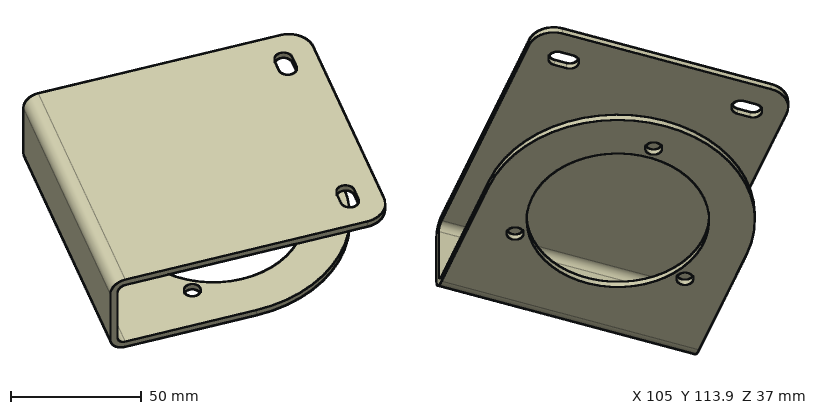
import cadquery as cq

width = 105.0
length = 113.9
height = 37.0
thickness = 3.0
bend_outer_radius = 6.0
bend_inner_radius = bend_outer_radius - thickness

corner_radius = 10.0
slot_length = 12.1
slot_width = 7.1
slot_spacing = 74.7
slot_edge_distance = 13.0

base_length = 111.7
base_end_radius = width / 2
opening_center_y = base_length - base_end_radius
opening_diameter = 70.0
bolt_circle_radius = 40.0
bolt_hole_diameter = 6.5
bolt_hole_count = 3


def bent_sheet():
    """U-shaped sheet, open toward +Y, with concentric bend radii."""
    outer = (
        cq.Workplane("XY")
        .box(width, length, height, centered=(True, False, False))
        .edges("|X and <Y")
        .fillet(bend_outer_radius)
    )
    inner = (
        cq.Workplane("XY")
        .box(width, length, height - 2 * thickness, centered=(True, False, False))
        .translate((0, thickness, thickness))
        .edges("|X and <Y")
        .fillet(bend_inner_radius)
    )
    return outer.cut(inner)


def top_outline():
    """Full-height block with the plan shape of the top plate."""
    return (
        cq.Workplane("XY")
        .box(width, length, height, centered=(True, False, False))
        .edges("|Z and >Y")
        .fillet(corner_radius)
    )


def base_trim():
    """Material removed from the base plate outside its rounded end."""
    end_block = (
        cq.Workplane("XY")
        .box(width, length - opening_center_y, thickness, centered=(True, False, False))
        .translate((0, opening_center_y, 0))
    )
    end_disc = (
        cq.Workplane("XY")
        .center(0, opening_center_y)
        .circle(base_end_radius)
        .extrude(thickness)
    )
    return end_block.cut(end_disc)


def mounting_slots():
    """Two slots through the top plate near its free edge."""
    slot_y = length - slot_edge_distance
    return (
        cq.Workplane("XY", origin=(0, 0, height - thickness))
        .pushPoints([(side * slot_spacing / 2, slot_y) for side in (-1, 1)])
        .slot2D(slot_length, slot_width)
        .extrude(thickness)
    )


def base_holes():
    """Large opening and the ring of bolt holes, one of them toward +Y."""
    base_plane = cq.Workplane("XY", origin=(0, opening_center_y, 0))
    opening = base_plane.circle(opening_diameter / 2).extrude(thickness)
    bolt_holes = (
        base_plane
        .polarArray(bolt_circle_radius, 90, 360, bolt_hole_count)
        .circle(bolt_hole_diameter / 2)
        .extrude(thickness)
    )
    return opening.union(bolt_holes)


result = (
    bent_sheet()
    .intersect(top_outline())
    .cut(base_trim())
    .cut(mounting_slots())
    .cut(base_holes())
)